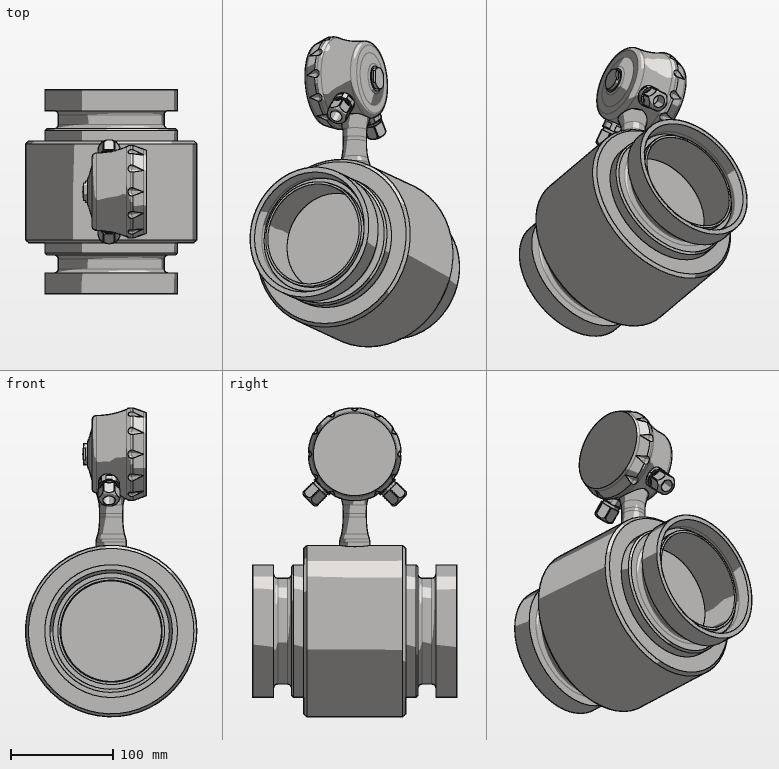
import cadquery as cq
import math

TUBE_LENGTH = 200.0
BODY_RADIUS = 84.0
BODY_LENGTH = 100.0
BODY_CHAMFER = 3.0
COLLAR_RADIUS = 65.0
COLLAR_WIDTH = 12.0
COLLAR_CHAMFER = 2.0
FLANGE_WIDTH = 20.6
GROOVE_RADIUS = 52.0
GROOVE_ROOT_FILLET = 4.0

MOUTH_RADIUS = 60.0
MOUTH_INNER_RADIUS = 57.0
MOUTH_DEPTH = 10.0
SEAL_GROOVE_RADIUS = 52.3
SEAL_GROOVE_FLOOR = 15.0
SEAL_LIP_DEPTH = 9.2
BORE_RADIUS = 50.0
BORE_FLOOR_RADIUS = 49.3

HOUSING_Z = 173.32
BACK_X = -18.7
BACK_FILLET = 4.5
SHELL_BACK_RADIUS = 38.0
SHELL_SAG_X = 3.0
SHELL_SAG_RADIUS = 40.1
PARTING_X = 15.0
PARTING_RADIUS = 44.0
BACK_CONE_RADIUS = 26.0

PLUG_SEAT_X = -21.9
PLUG_SEAT_RADIUS = 15.0
PLUG_COLLAR_X = -23.2
PLUG_COLLAR_RADIUS = 12.3
PLUG_RADIUS = 10.5
PLUG_FACE_X = -26.9
PLUG_APEX_X = -27.9
PLUG_FLAT_OFFSET = 8.7
PLUG_FLAT_END_X = -25.0

CAP_RADIUS = 45.6
CAP_BULGE_RADIUS = 45.1
CAP_SHOULDER_X = 18.7
CAP_TAPER_X = 21.4
CAP_TAPER_END_X = 31.7
CAP_TAPER_END_RADIUS = 83.7 / 2
CAP_FACE_X = 34.5
CAP_FACE_RADIUS = 81.2 / 2
GRIP_COUNT = 12
GRIP_RADIUS = 4.35
GRIP_LIFT = 1.5
GRIP_START_X = 20.4

STEM_BASE_RADIUS = 15.0
STEM_BASE_Z = 75.0
STEM_BASE_TOP_Z = 87.1
STEM_SHOULDER_RADIUS = 14.6
STEM_SHOULDER_Z = 90.0
STEM_TAPER_RADIUS = 13.0
STEM_TAPER_Z = 95.3
STEM_SWEEP_RADIUS = 12.0
STEM_SWEEP_Z = 101.5
STEM_RADIUS = 11.5
STEM_NECK_Z = 111.7
STEM_NECK_TOP_Z = 115.4
FLARE_RADIUS = 23.5 / 2
FLARE_Z = 123.6
FLARE_MID_RADIUS = 13.1
FLARE_MID_Z = 130.0
FLARE_TOP_RADIUS = 15.3
FLARE_TOP_Z = 137.0

GLAND_X = -2.0
GLAND_ANGLES = (-45.0, 45.0)
GLAND_SEAT = 30.0
GLAND_BODY_DIAMETER = 20.8
GLAND_BODY_ACROSS_FLATS = 20.0
GLAND_FLAT_START = 39.3
GLAND_FLAT_END = 44.9
GLAND_BODY_END = 45.8
GLAND_RING_DIAMETER = 17.5
NUT_START = 48.8
NUT_END = 64.0
NUT_ACROSS_FLATS = 19.0
NUT_HOLE_DIAMETER = 12.0
NUT_BLANK_DIAMETER = 21.4
NUT_RIM_WIDTH = 0.1


def make_body():
    """Solid chamfered drum in the middle of the tube."""
    drum = cq.Workplane("XZ", origin=(0, BODY_LENGTH / 2, 0)).circle(BODY_RADIUS).extrude(BODY_LENGTH)
    return drum.faces("<Y or >Y").chamfer(BODY_CHAMFER)


def make_spool():
    """Collar, clamp groove, flange and bore at the +Y end of the body."""
    end = TUBE_LENGTH / 2
    body_end = BODY_LENGTH / 2
    collar_end = body_end + COLLAR_WIDTH
    flange_start = end - FLANGE_WIDTH
    groove_fillet_radius = GROOVE_RADIUS + GROOVE_ROOT_FILLET
    profile = (
        cq.Workplane("XY")
        .moveTo(BORE_FLOOR_RADIUS, body_end)
        .lineTo(COLLAR_RADIUS, body_end)
        .lineTo(COLLAR_RADIUS, collar_end - COLLAR_CHAMFER)
        .lineTo(COLLAR_RADIUS - COLLAR_CHAMFER, collar_end)
        .lineTo(groove_fillet_radius, collar_end)
        .radiusArc((GROOVE_RADIUS, collar_end + GROOVE_ROOT_FILLET), GROOVE_ROOT_FILLET)
        .lineTo(GROOVE_RADIUS, flange_start - GROOVE_ROOT_FILLET)
        .radiusArc((groove_fillet_radius, flange_start), GROOVE_ROOT_FILLET)
        .lineTo(COLLAR_RADIUS, flange_start)
        .lineTo(COLLAR_RADIUS, end)
        .lineTo(MOUTH_RADIUS, end)
        .lineTo(MOUTH_INNER_RADIUS, end - MOUTH_DEPTH)
        .lineTo(MOUTH_INNER_RADIUS, end - SEAL_GROOVE_FLOOR)
        .lineTo(SEAL_GROOVE_RADIUS, end - SEAL_GROOVE_FLOOR)
        .lineTo(SEAL_GROOVE_RADIUS, end - SEAL_LIP_DEPTH)
        .lineTo(BORE_RADIUS, end - SEAL_LIP_DEPTH)
        .close()
    )
    return profile.revolve(360, (0, 0, 0), (0, 1, 0))


def make_housing():
    """Housing shell, back plug and screw cap as one turned shape on its own axis (X)."""
    fillet_offset = BACK_FILLET * math.sin(math.pi / 4)
    fillet_center_x = BACK_X + BACK_FILLET
    fillet_center_radius = SHELL_BACK_RADIUS - BACK_FILLET
    cap_bulge_x = (PARTING_X + CAP_SHOULDER_X) / 2
    profile = (
        cq.Workplane("XY")
        .moveTo(PLUG_APEX_X, 0)
        .lineTo(PLUG_FACE_X, PLUG_RADIUS)
        .lineTo(PLUG_COLLAR_X, PLUG_RADIUS)
        .lineTo(PLUG_COLLAR_X, PLUG_COLLAR_RADIUS)
        .lineTo(PLUG_SEAT_X, PLUG_SEAT_RADIUS)
        .lineTo(BACK_X, BACK_CONE_RADIUS)
        .lineTo(BACK_X, fillet_center_radius)
        .threePointArc(
            (fillet_center_x - fillet_offset, fillet_center_radius + fillet_offset),
            (fillet_center_x, SHELL_BACK_RADIUS),
        )
        .threePointArc((SHELL_SAG_X, SHELL_SAG_RADIUS), (PARTING_X, PARTING_RADIUS))
        .threePointArc((cap_bulge_x, CAP_BULGE_RADIUS), (CAP_SHOULDER_X, CAP_RADIUS))
        .lineTo(CAP_TAPER_X, CAP_RADIUS)
        .lineTo(CAP_TAPER_END_X, CAP_TAPER_END_RADIUS)
        .lineTo(CAP_FACE_X, CAP_FACE_RADIUS)
        .lineTo(CAP_FACE_X, 0)
        .close()
    )
    housing = profile.revolve(360, (0, 0, 0), (1, 0, 0))
    return housing.cut(make_plug_flats()).cut(make_grip_cutters())


def make_plug_flats():
    """Two blocks that leave spanner flats on the end of the back plug."""
    length = PLUG_FLAT_END_X - PLUG_APEX_X
    center_x = (PLUG_FLAT_END_X + PLUG_APEX_X) / 2
    blocks = cq.Workplane("XY")
    for side in (-1, 1):
        center_y = side * (PLUG_FLAT_OFFSET + PLUG_RADIUS / 2)
        block = cq.Workplane("XY").box(length, PLUG_RADIUS, 2 * PLUG_RADIUS)
        blocks = blocks.add(block.translate((center_x, center_y, 0)))
    return blocks.combine()


def make_grip_cutters():
    """Round-nosed cones that leave teardrop grips around the screw cap."""
    nose_center_radius = CAP_RADIUS + GRIP_LIFT
    length_x = CAP_TAPER_END_X - GRIP_START_X
    drop = nose_center_radius - CAP_TAPER_END_RADIUS
    length = math.hypot(length_x, drop)
    tilt = math.degrees(math.atan2(drop, length_x))
    tangent_x = GRIP_RADIUS ** 2 / length
    tangent_radius = GRIP_RADIUS * math.sqrt(1 - (GRIP_RADIUS / length) ** 2)
    profile = (
        cq.Workplane("XY")
        .moveTo(-GRIP_RADIUS, 0)
        .threePointArc((0, GRIP_RADIUS), (tangent_x, tangent_radius))
        .lineTo(length, 0)
        .close()
    )
    cutter = (
        profile.revolve(360, (0, 0, 0), (1, 0, 0))
        .rotate((0, 0, 0), (0, 1, 0), tilt)
        .translate((GRIP_START_X, 0, nose_center_radius))
    )
    cutters = cq.Workplane("XY")
    for index in range(GRIP_COUNT):
        cutters = cutters.add(cutter.rotate((0, 0, 0), (1, 0, 0), index * 360 / GRIP_COUNT))
    return cutters.combine()


def make_stem():
    """Stem from the body up into the housing."""
    profile = (
        cq.Workplane("XZ")
        .moveTo(0, STEM_BASE_Z)
        .lineTo(STEM_BASE_RADIUS, STEM_BASE_Z)
        .lineTo(STEM_BASE_RADIUS, STEM_BASE_TOP_Z)
        .lineTo(STEM_SHOULDER_RADIUS, STEM_SHOULDER_Z)
        .lineTo(STEM_TAPER_RADIUS, STEM_TAPER_Z)
        .threePointArc((STEM_SWEEP_RADIUS, STEM_SWEEP_Z), (STEM_RADIUS, STEM_NECK_Z))
        .lineTo(STEM_RADIUS, STEM_NECK_TOP_Z)
        .lineTo(FLARE_RADIUS, FLARE_Z)
        .threePointArc((FLARE_MID_RADIUS, FLARE_MID_Z), (FLARE_TOP_RADIUS, FLARE_TOP_Z))
        .lineTo(0, FLARE_TOP_Z)
        .close()
    )
    return profile.revolve(360, (0, 0, 0), (0, 1, 0))


def make_hexagon(across_flats, start, end):
    """Hexagonal bar pointing down -Z, with corners on the X axis."""
    across_corners = across_flats / math.cos(math.pi / 6)
    return cq.Workplane("XY", origin=(0, 0, -start)).polygon(6, across_corners).extrude(start - end)


def make_gland():
    """Cable gland pointing down -Z from the housing axis."""
    def disc(diameter, start, end):
        return cq.Workplane("XY", origin=(0, 0, -start)).circle(diameter / 2).extrude(start - end)

    body = disc(GLAND_BODY_DIAMETER, GLAND_SEAT, GLAND_BODY_END)
    flat_zone = disc(GLAND_BODY_DIAMETER, GLAND_FLAT_START, GLAND_FLAT_END)
    flat_waste = flat_zone.cut(make_hexagon(GLAND_BODY_ACROSS_FLATS, GLAND_FLAT_START, GLAND_FLAT_END))
    ring = disc(GLAND_RING_DIAMETER, GLAND_BODY_END, NUT_START)

    nose_fillet = (NUT_BLANK_DIAMETER - NUT_HOLE_DIAMETER) / 2 - NUT_RIM_WIDTH
    rounded_blank = disc(NUT_BLANK_DIAMETER, NUT_START, NUT_END).faces("<Z").edges().fillet(nose_fillet)
    nut = make_hexagon(NUT_ACROSS_FLATS, NUT_START, NUT_END).intersect(rounded_blank)
    cable_hole = disc(NUT_HOLE_DIAMETER, NUT_START, NUT_END)

    return body.cut(flat_waste).union(ring).union(nut).cut(cable_hole)


spool = make_spool()
tube = make_body().union(spool).union(spool.mirror("XZ"))
housing = make_housing()
gland = make_gland()
for angle in GLAND_ANGLES:
    housing = housing.union(gland.translate((GLAND_X, 0, 0)).rotate((0, 0, 0), (1, 0, 0), angle))

result = tube.union(make_stem()).union(housing.translate((0, 0, HOUSING_Z)))